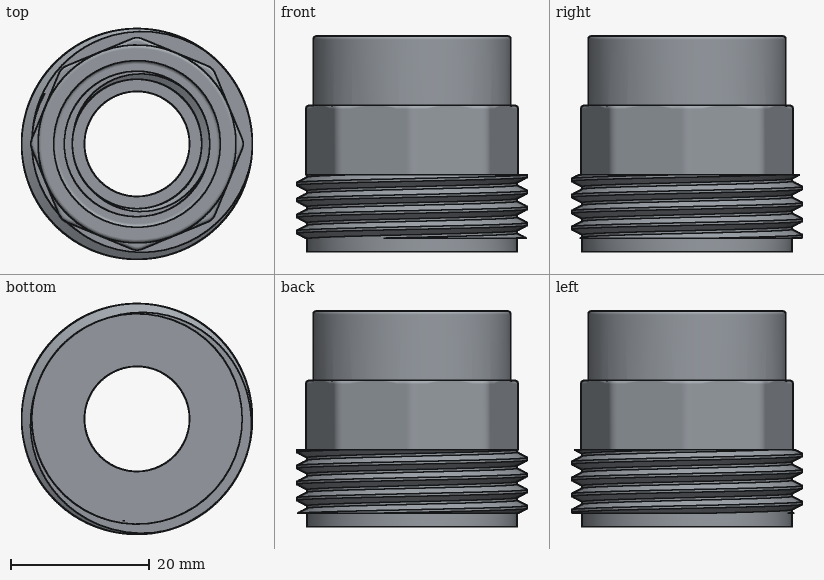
import cadquery as cq
import math

TOTAL_HEIGHT = 31.1
COLLAR_HEIGHT = 10.0
OCTAGON_HEIGHT = 10.0
LEAD_IN_HEIGHT = 2.0
COLLAR_BASE_Z = TOTAL_HEIGHT - COLLAR_HEIGHT
OCTAGON_BASE_Z = COLLAR_BASE_Z - OCTAGON_HEIGHT

COLLAR_RADIUS = 28.5 / 2
COLLAR_FILLET = 0.5
FLAT_CLEARANCE = 0.02
FLAT_DISTANCE = COLLAR_RADIUS + FLAT_CLEARANCE
SIDE_COUNT = 8
HALF_SIDE_ANGLE = math.pi / SIDE_COUNT
CORNER_RADIUS = 2.0
RIM_FILLET = 0.5
RIM_OVERLAP = 0.01
RIM_CUT_MARGIN = 1.0
RIM_TAPER_HALF_LENGTH = math.sqrt(
    COLLAR_RADIUS**2 - (FLAT_DISTANCE - RIM_FILLET + RIM_OVERLAP) ** 2
)
RIM_STATIONS_PER_HALF = 4

HALF_THREAD_ANGLE = math.radians(27.5)
CREST_WIDTH_PER_PITCH = 1 / 6
THREAD_EMBED = 0.1
TRIM_MARGIN = 1.0

OUTER_PITCH = 2.309
OUTER_CREST_RADIUS = 33.25 / 2
OUTER_ROOT_RADIUS = 30.29 / 2
OUTER_CREST_Z = 8.64

INNER_PITCH = 1.814
INNER_CREST_RADIUS = 18.63 / 2
INNER_ROOT_RADIUS = 20.95 / 2
INNER_TOP_CREST_ANGLE = 198

COUNTERBORE_RADIUS = 24.0 / 2
COUNTERBORE_DEPTH = 1.5
COUNTERBORE_FILLET = 0.5
RELIEF_DEPTH = 0.6
INNER_THREAD_TOP_Z = TOTAL_HEIGHT - COUNTERBORE_DEPTH - RELIEF_DEPTH
BORE_FLOOR_Z = 13.1
PASSAGE_RADIUS = 15.1 / 2


def cylinder(radius, bottom, top):
    return cq.Workplane("XY").workplane(offset=bottom).circle(radius).extrude(top - bottom)


def thread_ridge(pitch, crest_radius, root_radius, crest_z, bottom, top):
    """Helical ridge with a crest at height crest_z at angle 0, trimmed flat at bottom and top."""
    direction = math.copysign(1, crest_radius - root_radius)
    base_radius = root_radius - direction * THREAD_EMBED
    half_crest = pitch * CREST_WIDTH_PER_PITCH / 2
    half_base = half_crest + abs(crest_radius - base_radius) * math.tan(HALF_THREAD_ANGLE)

    turns_below = math.ceil((crest_z - bottom) / pitch) + 1
    start_z = crest_z - turns_below * pitch
    turns = math.ceil((top - start_z) / pitch) + 1
    path = cq.Wire.makeHelix(pitch, turns * pitch, root_radius, center=cq.Vector(0, 0, start_z))
    ridge = (
        cq.Workplane("XZ")
        .moveTo(base_radius, start_z - half_base)
        .lineTo(crest_radius, start_z - half_crest)
        .lineTo(crest_radius, start_z + half_crest)
        .lineTo(base_radius, start_z + half_base)
        .close()
        .sweep(cq.Workplane(obj=path), isFrenet=True)
    )
    trim_radius = max(crest_radius, base_radius) + TRIM_MARGIN
    return ridge.intersect(cylinder(trim_radius, bottom, top))


def rounded_octagon():
    corner_diameter = 2 * FLAT_DISTANCE / math.cos(HALF_SIDE_ANGLE)
    return (
        cq.Workplane("XY")
        .workplane(offset=OCTAGON_BASE_Z)
        .polygon(SIDE_COUNT, corner_diameter)
        .extrude(OCTAGON_HEIGHT)
        .edges("|Z")
        .fillet(CORNER_RADIUS)
    )


def rim_section(along):
    """Cross-section of the rim cut at a distance from mid flat, for the flat facing +X."""
    radius = FLAT_DISTANCE + RIM_OVERLAP - math.sqrt(COLLAR_RADIUS**2 - along**2)
    inner = FLAT_DISTANCE - radius
    low = COLLAR_BASE_Z - radius
    arc_reach = radius * math.sqrt(0.5)
    outside = FLAT_DISTANCE + RIM_CUT_MARGIN
    above = COLLAR_BASE_Z + RIM_CUT_MARGIN
    section = (
        cq.Workplane("XZ", origin=(0, along, 0))
        .moveTo(inner, COLLAR_BASE_Z)
        .threePointArc((inner + arc_reach, low + arc_reach), (FLAT_DISTANCE, low))
        .lineTo(outside, low)
        .lineTo(outside, above)
        .lineTo(inner, above)
        .close()
    )
    return section.val()


def round_octagon_rim(octagon):
    """Round the top rim: full radius at the corners, fading out where the flats meet the collar."""
    full_round = octagon.cut(octagon.faces(">Z").edges().fillet(RIM_FILLET))
    step = RIM_TAPER_HALF_LENGTH / RIM_STATIONS_PER_HALF
    stations = range(-RIM_STATIONS_PER_HALF, RIM_STATIONS_PER_HALF + 1)
    taper_cut = cq.Workplane(obj=cq.Solid.makeLoft([rim_section(i * step) for i in stations]))
    taper_zone = (
        cq.Workplane("XY")
        .box(2 * FLAT_DISTANCE, 2 * RIM_TAPER_HALF_LENGTH, 2 * TOTAL_HEIGHT)
        .translate((FLAT_DISTANCE, 0, 0))
    )
    side_angles = [math.degrees(HALF_SIDE_ANGLE * (2 * i + 1)) for i in range(SIDE_COUNT)]
    for angle in side_angles:
        full_round = full_round.cut(taper_zone.rotate((0, 0, 0), (0, 0, 1), angle))
    octagon = octagon.cut(full_round)
    for angle in side_angles:
        octagon = octagon.cut(taper_cut.rotate((0, 0, 0), (0, 0, 1), angle))
    return octagon


def outer_body():
    spigot = cylinder(OUTER_ROOT_RADIUS, 0, OCTAGON_BASE_Z)
    thread = thread_ridge(
        OUTER_PITCH, OUTER_CREST_RADIUS, OUTER_ROOT_RADIUS, OUTER_CREST_Z, LEAD_IN_HEIGHT, OCTAGON_BASE_Z
    )
    collar = (
        cylinder(COLLAR_RADIUS, OCTAGON_BASE_Z, TOTAL_HEIGHT)
        .faces(">Z")
        .edges()
        .fillet(COLLAR_FILLET)
    )
    octagon = round_octagon_rim(rounded_octagon())
    return spigot.union(thread).union(octagon.union(collar))


def bore():
    """Smooth bore: filleted counterbore, thread root cylinder and the narrower through passage."""
    counterbore = (
        cylinder(COUNTERBORE_RADIUS, TOTAL_HEIGHT - COUNTERBORE_DEPTH, TOTAL_HEIGHT)
        .faces("<Z")
        .edges()
        .fillet(COUNTERBORE_FILLET)
    )
    threaded_length = cylinder(INNER_ROOT_RADIUS, BORE_FLOOR_Z, TOTAL_HEIGHT)
    passage = cylinder(PASSAGE_RADIUS, 0, TOTAL_HEIGHT)
    return passage.union(threaded_length).union(counterbore)


def inner_thread():
    """Thread from the bore floor up to the relief under the counterbore."""
    crest_z = INNER_THREAD_TOP_Z - INNER_PITCH * INNER_TOP_CREST_ANGLE / 360
    return thread_ridge(
        INNER_PITCH, INNER_CREST_RADIUS, INNER_ROOT_RADIUS, crest_z, BORE_FLOOR_Z, INNER_THREAD_TOP_Z
    )


result = outer_body().cut(bore()).union(inner_thread())